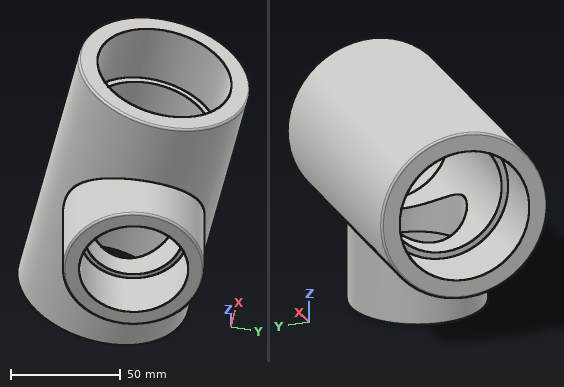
import cadquery as cq

run_length = 129.5
run_diameter = 81.0
run_socket_diameter = 63.0
run_socket_depth = 29.0
run_bore_diameter = 56.7
run_edge_radius = 1.0

branch_reach = 65.0
branch_diameter = 65.0
branch_socket_diameter = 50.0
branch_socket_depth = 25.0
branch_bore_diameter = 45.4
branch_edge_radius = 1.0


def cylinder_along_x(diameter, x_start, length):
    plane = cq.Workplane("YZ", origin=(x_start, 0, 0))
    return plane.circle(diameter / 2).extrude(length)


def cylinder_from_mouth(diameter, length):
    """Cylinder on the branch axis, rising from the branch mouth."""
    plane = cq.Workplane("XY", origin=(0, 0, -branch_reach))
    return plane.circle(diameter / 2).extrude(length)


def outer_body():
    run = cylinder_along_x(run_diameter, -run_length / 2, run_length)
    run = run.faces("<X or >X").edges().fillet(run_edge_radius)
    branch = cylinder_from_mouth(branch_diameter, branch_reach)
    branch = branch.faces("<Z").edges().fillet(branch_edge_radius)
    return run.union(branch)


def run_cavity():
    """Through bore with a wider pipe socket at each end."""
    cavity = cylinder_along_x(run_bore_diameter, -run_length / 2, run_length)
    for socket_start in (-run_length / 2, run_length / 2 - run_socket_depth):
        socket = cylinder_along_x(run_socket_diameter, socket_start, run_socket_depth)
        cavity = cavity.union(socket)
    return cavity


def branch_cavity():
    """Bore from the branch mouth into the main bore, with a pipe socket at the mouth."""
    bore = cylinder_from_mouth(branch_bore_diameter, branch_reach)
    socket = cylinder_from_mouth(branch_socket_diameter, branch_socket_depth)
    return bore.union(socket)


result = outer_body().cut(run_cavity()).cut(branch_cavity())